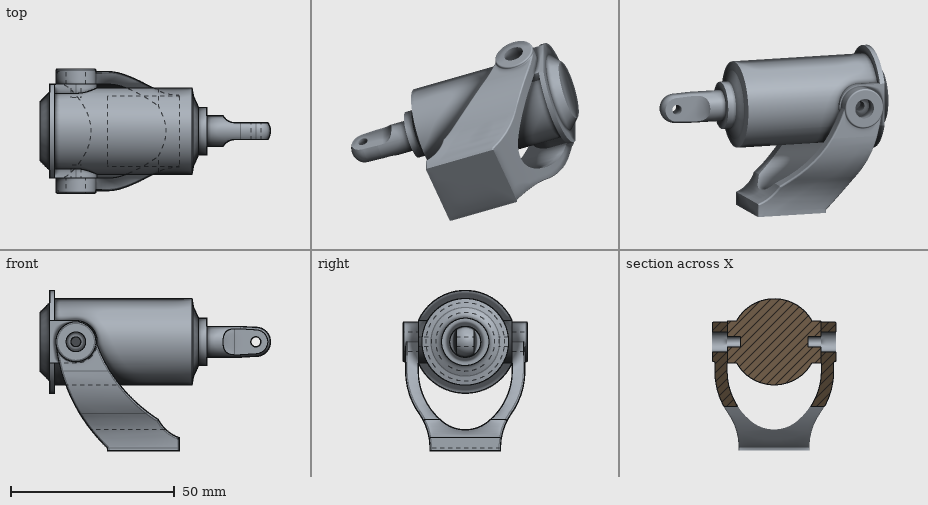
import cadquery as cq
import math


cap_front_x = -11.0
flange_front_x = cap_front_x + 3.0
flange_back_x = flange_front_x + 1.5
barrel_end_x = cap_front_x + 46.5
shoulder_x = barrel_end_x + 0.5
gland_start_x = shoulder_x + 1.5
gland_end_x = gland_start_x + 2.5
cap_front_radius = 9.0
cap_back_radius = 12.0
flange_radius = 15.75
barrel_radius = 13.25
shoulder_radius = 10.5
gland_radius = 7.25

pad_radius = 6.5
pad_face_y = math.sqrt(flange_radius**2 - pad_radius**2)
pin_hole_diameter = 3.0
pin_hole_depth = 4.0

rod_radius = 4.75
eye_radius = 4.5
eye_x = cap_front_x + 66.0
eye_taper_length = 4.75
eye_hole_diameter = 3.0
eye_thickness = 5.25
eye_flat_start_x = eye_x - 6.5
eye_flat_blend_radius = 4.0

boss_radius = 6.1
boss_face_y = 19.0
boss_hole_diameter = 6.0
boss_edge_fillet = 0.45
boss_root_fillet = 0.25
arm_face_y = 18.25
arm_edge_fillet = 0.45

bracket_bottom_z = -33.33
foot_top_z = bracket_bottom_z + 0.9
foot_front_x = 9.6
foot_back_x = 31.6
foot_half_width = 10.8

front_arc_radius = 52.0
bend_start_z = -8.86
back_edge_waist = (12.3, -11.7)
notch_corner = (25.2, -23.75)
notch_radius = 11.3
notch_end_z = -29.3

outer_bend_radius = 22.75
inner_bend_radius = 20.0
throat_radius = 11.0


def make_housing():
    """Barrel, cap, flange and gland turned about X, with the two trunnion pads."""
    profile = [
        (cap_front_x, 0),
        (cap_front_x, cap_front_radius),
        (flange_front_x, cap_back_radius),
        (flange_front_x, flange_radius),
        (flange_back_x, flange_radius),
        (flange_back_x, barrel_radius),
        (barrel_end_x, barrel_radius),
        (shoulder_x, shoulder_radius),
        (gland_start_x, gland_radius),
        (gland_end_x, gland_radius),
        (gland_end_x, 0),
    ]
    body = cq.Workplane("XY").polyline(profile).close().revolve(360, (0, 0), (1, 0))

    pad_width = 2 * pad_face_y
    pad_bar = (
        cq.Workplane("XY")
        .box(-flange_back_x, pad_width, 2 * pad_radius)
        .translate((flange_back_x / 2, 0, 0))
    )
    pad_end = cq.Workplane("XZ").circle(pad_radius).extrude(pad_face_y, both=True)
    body = body.union(pad_bar).union(pad_end)

    length = gland_end_x - cap_front_x
    envelope = (
        cq.Workplane("XY")
        .box(length, pad_width, 2 * flange_radius)
        .translate((cap_front_x + length / 2, 0, 0))
    )
    body = body.intersect(envelope)

    for side in (-1, 1):
        hole = (
            cq.Workplane("XZ", origin=(0, side * pad_face_y, 0))
            .circle(pin_hole_diameter / 2)
            .extrude(side * pin_hole_depth)
        )
        body = body.cut(hole)
    return body


def make_rod():
    """Round rod butting on the gland face, ending in a flattened ball eye."""
    tip_x = eye_x + eye_radius
    diagonal = eye_radius * math.sqrt(0.5)
    rod = (
        cq.Workplane("XY")
        .moveTo(gland_end_x, 0)
        .lineTo(gland_end_x, rod_radius)
        .lineTo(eye_x - eye_taper_length, rod_radius)
        .lineTo(eye_x, eye_radius)
        .threePointArc((eye_x + diagonal, diagonal), (tip_x, 0))
        .close()
        .revolve(360, (0, 0), (1, 0))
    )

    flat_y = eye_thickness / 2
    blend = eye_flat_blend_radius
    blend_offset = blend * math.sqrt(0.5)
    for side in (-1, 1):
        flat = (
            cq.Workplane("XY")
            .moveTo(tip_x, side * flat_y)
            .lineTo(eye_flat_start_x, side * flat_y)
            .threePointArc(
                (eye_flat_start_x - blend_offset, side * (flat_y + blend - blend_offset)),
                (eye_flat_start_x - blend, side * (flat_y + blend)),
            )
            .lineTo(tip_x, side * (flat_y + blend))
            .close()
            .extrude(rod_radius, both=True)
        )
        rod = rod.cut(flat)

    eye_hole = (
        cq.Workplane("XZ", origin=(eye_x, 0, 0))
        .circle(eye_hole_diameter / 2)
        .extrude(eye_thickness, both=True)
    )
    return rod.cut(eye_hole)


def front_arc_tangent_point():
    """Point where the front arc, rising from the foot, meets the boss circle tangentially."""
    centre_to_boss = front_arc_radius - boss_radius
    span = math.hypot(foot_front_x, foot_top_z)
    along = (span**2 + centre_to_boss**2 - front_arc_radius**2) / (2 * span)
    centre_angle = math.atan2(foot_top_z, foot_front_x) + math.acos(along / centre_to_boss)
    return (-boss_radius * math.cos(centre_angle), -boss_radius * math.sin(centre_angle))


def side_outline():
    """Swept-back side shape of both arms and the foot, as a full-width prism."""
    return (
        cq.Workplane("XZ")
        .moveTo(*front_arc_tangent_point())
        .radiusArc((foot_front_x, foot_top_z), -front_arc_radius)
        .lineTo(foot_front_x, bracket_bottom_z)
        .lineTo(foot_back_x, bracket_bottom_z)
        .lineTo(foot_back_x, notch_end_z)
        .radiusArc(notch_corner, notch_radius)
        .spline([back_edge_waist, (boss_radius, 0)], includeCurrent=True)
        .close()
        .extrude(boss_face_y, both=True)
    )


def end_outline():
    """Outer shape of the bracket along X: each side is a convex bend, then a tangent flare
    that ends vertical at the foot."""
    outer_centre_y = arm_face_y - outer_bend_radius
    s_width = arm_face_y - foot_half_width
    s_height = bend_start_z - foot_top_z
    radius_sum = (s_width**2 + s_height**2) / (2 * s_width)
    flare_radius = radius_sum - outer_bend_radius
    sweep = math.asin(s_height / radius_sum)
    inflection = (
        outer_centre_y + outer_bend_radius * math.cos(sweep),
        bend_start_z - outer_bend_radius * math.sin(sweep),
    )
    y_join, z_join = inflection
    return (
        cq.Workplane("YZ")
        .moveTo(arm_face_y, 0)
        .lineTo(arm_face_y, bend_start_z)
        .radiusArc(inflection, outer_bend_radius)
        .radiusArc((foot_half_width, foot_top_z), -flare_radius)
        .lineTo(foot_half_width, bracket_bottom_z)
        .lineTo(-foot_half_width, bracket_bottom_z)
        .lineTo(-foot_half_width, foot_top_z)
        .radiusArc((-y_join, z_join), -flare_radius)
        .radiusArc((-arm_face_y, bend_start_z), outer_bend_radius)
        .lineTo(-arm_face_y, 0)
        .close()
        .extrude(2 * foot_back_x, both=True)
    )


def arm_opening():
    """Space between the arms, with side bends blended into a rounded throat."""
    bend_centre_y = pad_face_y - inner_bend_radius
    centre_distance = inner_bend_radius - throat_radius
    throat_drop = math.sqrt(centre_distance**2 - bend_centre_y**2)
    throat_z = bend_start_z - throat_drop
    blend_y = -bend_centre_y * throat_radius / centre_distance
    blend_z = throat_z - throat_drop * throat_radius / centre_distance
    return (
        cq.Workplane("YZ")
        .moveTo(pad_face_y, boss_radius)
        .lineTo(pad_face_y, bend_start_z)
        .radiusArc((blend_y, blend_z), inner_bend_radius)
        .threePointArc((0, throat_z - throat_radius), (-blend_y, blend_z))
        .radiusArc((-pad_face_y, bend_start_z), inner_bend_radius)
        .lineTo(-pad_face_y, boss_radius)
        .close()
        .extrude(2 * foot_back_x, both=True)
    )


def is_outer_rim(edge):
    """True for the rising edges round the outer faces; the seams and foot edges are level."""
    return edge.BoundingBox().zlen > arm_edge_fillet and edge.Center().z < -boss_radius / 2


def is_boss_root(edge):
    """True for the arc below the axis where a boss stands up from the outer face of its arm."""
    tolerance = 0.01
    box = edge.BoundingBox()
    on_arm_face = box.ylen < tolerance and abs(abs(edge.Center().y) - arm_face_y) < tolerance
    reaches_boss_bottom = abs(box.zmin + boss_radius) < tolerance
    return on_arm_face and reaches_boss_bottom


def make_bracket():
    """Forked bracket whose bosses sit against the trunnion pads."""
    blank = side_outline().intersect(end_outline())
    rims = [edge for edge in blank.edges().vals() if is_outer_rim(edge)]
    bracket = blank.newObject(rims).fillet(arm_edge_fillet)
    bracket = bracket.cut(arm_opening())
    for side in (-1, 1):
        boss = (
            cq.Workplane("XZ", origin=(0, side * pad_face_y, 0))
            .circle(boss_radius)
            .extrude(-side * (boss_face_y - pad_face_y))
            .faces(">Y" if side > 0 else "<Y")
            .edges()
            .fillet(boss_edge_fillet)
        )
        bracket = bracket.union(boss)
    roots = [edge for edge in bracket.edges().vals() if is_boss_root(edge)]
    bracket = bracket.newObject(roots).fillet(boss_root_fillet)
    hole = cq.Workplane("XZ").circle(boss_hole_diameter / 2).extrude(boss_face_y, both=True)
    return bracket.cut(hole)


housing = make_housing()
rod = make_rod()
bracket = make_bracket()

result = cq.Compound.makeCompound([housing.val(), rod.val(), bracket.val()])